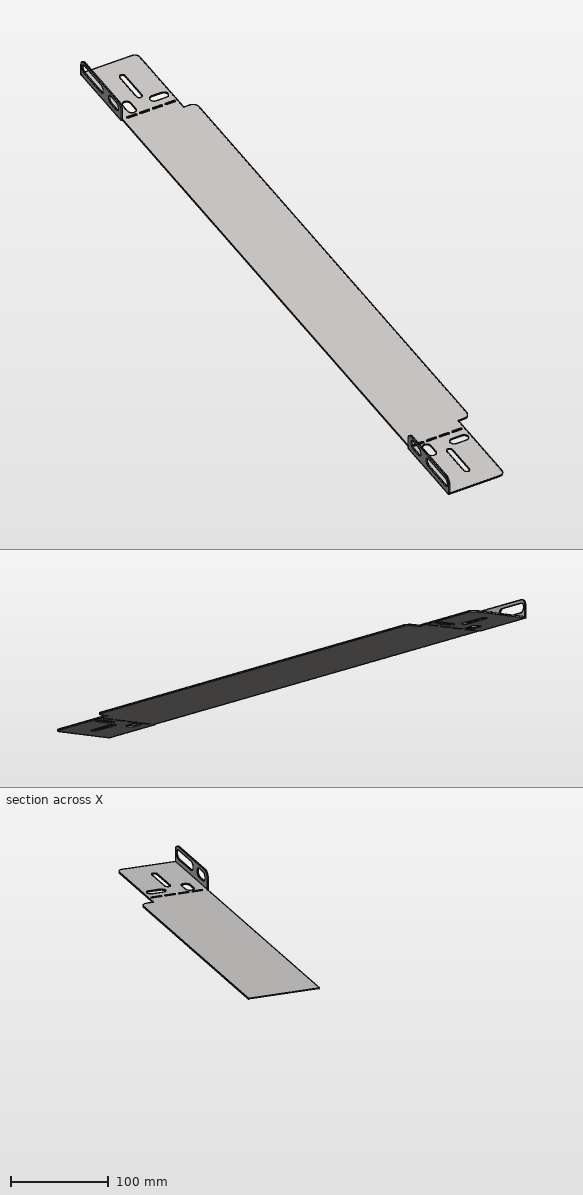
import cadquery as cq

length = 774.0
width = 80.0
height = 20.0
thickness = 1.5

shoulder_inset = 98.0
shoulder_step = 14.0
shoulder_radius = 7.0
end_radius = 6.0
front_setback = thickness

flange_length = 85.0
flange_radius = 7.0

flange_long_slot = (25.0, 11.5, 45.0, 10.0)
flange_short_slot = (69.0, 11.5, 21.0, 10.0)
plate_long_slot = (42.5, 35.0, 42.0, 6.0)
plate_front_slot = (71.0, 17.0, 20.0, 9.0)
plate_cross_slot = (71.0, 52.0, 21.0, 9.0)

perforation_count = 4
perforation_length = 11.5
perforation_gap = 3.3
perforation_pitch = perforation_length + perforation_gap
perforation_width = 2.0
first_perforation_depth = 12.0

half_length = length / 2
shoulder_depth = width - shoulder_step


def block(x_min, x_max, y_min, y_max, z_max):
    """Box standing on the plane z = 0."""
    size = (x_max - x_min, y_max - y_min, z_max)
    return cq.Workplane("XY").box(*size, centered=False).translate((x_min, y_min, 0))


def plate():
    """Flat sheet: wide middle stretch with a narrower tab at each end."""
    shoulder_x = half_length - shoulder_inset
    middle = block(-shoulder_x, shoulder_x, front_setback, width, thickness)
    middle = middle.edges("|Z and >Y").fillet(shoulder_radius)
    tabs = block(-half_length, half_length, front_setback, shoulder_depth, thickness)
    tabs = tabs.edges("|Z and >Y").fillet(end_radius)
    return middle.union(tabs)


def flange():
    """Upright strip along the front of the left tab."""
    strip = block(-half_length, flange_length - half_length, 0, thickness, height)
    return strip.edges("|Y and >Z").fillet(flange_radius)


def flange_slot(inset, center_height, slot_length, slot_width):
    """Cutter through the left flange."""
    return (
        cq.Workplane("XZ")
        .center(inset - half_length, center_height)
        .slot2D(slot_length, slot_width)
        .extrude(-thickness)
    )


def plate_slot(inset, depth, slot_length, slot_width, angle=0):
    """Cutter through the left tab; an angle of 90 turns the slot across the part."""
    return (
        cq.Workplane("XY")
        .center(inset - half_length, depth)
        .slot2D(slot_length, slot_width, angle)
        .extrude(thickness)
    )


def left_cutters():
    """All openings of the left end."""
    cutters = [
        flange_slot(*flange_long_slot),
        flange_slot(*flange_short_slot),
        plate_slot(*plate_long_slot),
        plate_slot(*plate_front_slot),
        plate_slot(*plate_cross_slot, angle=90),
    ]
    for index in range(perforation_count):
        depth = first_perforation_depth + index * perforation_pitch
        perforation = (flange_length, depth, perforation_length, perforation_width)
        cutters.append(plate_slot(*perforation, angle=90))
    return cutters


left_flange = flange()
result = plate().union(left_flange).union(left_flange.mirror("YZ"))
for cutter in left_cutters():
    result = result.cut(cutter).cut(cutter.mirror("YZ"))